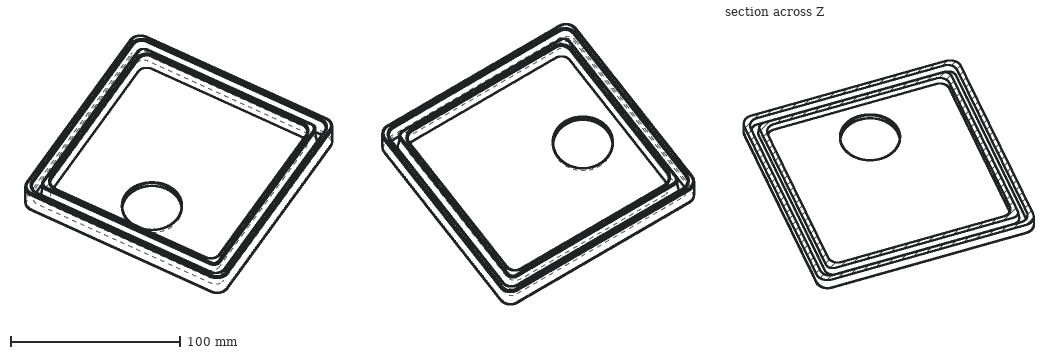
import cadquery as cq
import math

INCH = 25.4

side = 5.375 * INCH
height = 0.625 * INCH
corner_radius = 0.275 * INCH
inner_corner_radius = 0.235 * INCH
rim_corner_radius = 0.165 * INCH
edge_chamfer = 0.03125 * INCH
floor_thickness = 0.125 * INCH

wall_thickness = 0.125 * INCH
groove_width = 0.19 * INCH
shoulder_height = 0.375 * INCH
groove_floor = 0.125 * INCH
draft_inset = 0.03125 * INCH

rim_thickness = 0.125 * INCH

hole_diameter = 1.375 * INCH
hole_offset_y = -1.25 * INCH
hole_chamfer = 0.015625 * INCH

rim_inset = wall_thickness + groove_width
pocket_inset = rim_inset + rim_thickness


def rounded_square(inset, radius, level):
    """Square with rounded corners, inset from the outer faces."""
    width = side - 2 * inset
    outline = cq.Sketch().rect(width, width).vertices().fillet(radius)
    return cq.Workplane("XY").workplane(offset=level).placeSketch(outline)


def tray_body():
    body = rounded_square(0, corner_radius, 0).extrude(height)
    return body.faces("<Z").edges().chamfer(edge_chamfer)


def groove_side(inset, radius, draft_direction):
    """Solid inside one groove wall; draft_direction is 1 to narrow below the shoulder, -1 to widen."""
    straight_depth = height - shoulder_height
    drafted_depth = shoulder_height - groove_floor
    draft = draft_direction * math.degrees(math.atan2(draft_inset, drafted_depth))
    straight = rounded_square(inset, radius, height).extrude(-straight_depth)
    drafted = rounded_square(inset, radius, shoulder_height).extrude(-drafted_depth, taper=draft)
    return straight.union(drafted)


def groove():
    outer_side = groove_side(wall_thickness, inner_corner_radius, 1)
    rim_side = groove_side(rim_inset, rim_corner_radius, -1)
    return outer_side.cut(rim_side)


def pocket():
    return rounded_square(pocket_inset, inner_corner_radius, floor_thickness).extrude(height - floor_thickness)


def drain_hole():
    radius = hole_diameter / 2
    bore = cq.Workplane("XY").center(0, hole_offset_y).circle(radius).extrude(floor_thickness)
    lip = cq.Solid.makeCone(
        radius,
        radius + hole_chamfer,
        hole_chamfer,
        pnt=cq.Vector(0, hole_offset_y, floor_thickness - hole_chamfer),
    )
    return bore.union(cq.Workplane(lip))


result = tray_body().cut(groove()).cut(pocket())
result = result.faces(">Z").edges().chamfer(edge_chamfer)
result = result.cut(drain_hole())